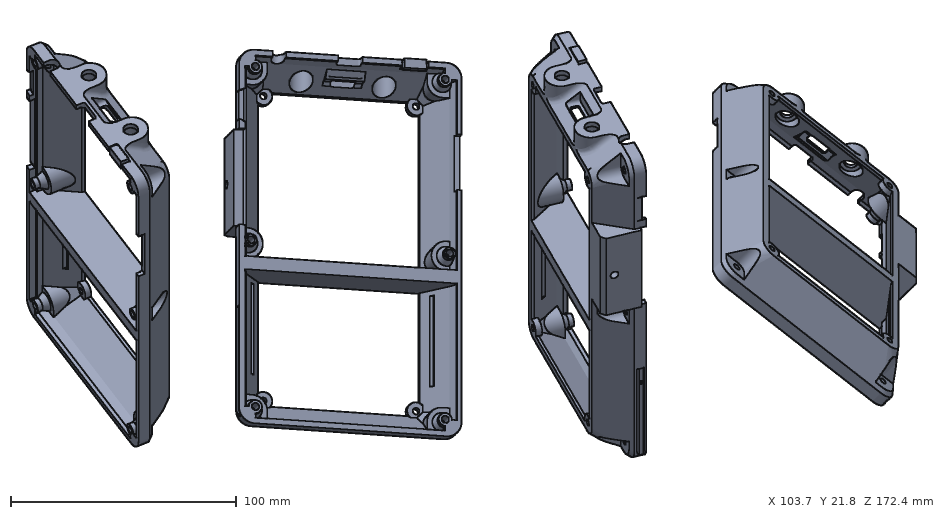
import cadquery as cq
import math

CASE_WIDTH = 102.0
CASE_HEIGHT = 171.6
DEPTH = 21.75
RIM_DEPTH = 5.7
INSET_X = 10.8
INSET_Z = 10.4
RIM_RADIUS = 7.0
BACK_RADIUS = 6.0
SIDE_X = CASE_WIDTH / 2
TOP_Z = CASE_HEIGHT / 2
BEYOND = 5.0

LIP_DEPTH = 2.0
LIP_LEFT = -48.3
LIP_RIGHT = 48.9
LIP_Z = 83.2
CAVITY_DEPTH = 6.0
LEFT_STEP_DEPTH = 3.2
WINDOW_EDGE_DEPTH = 20.25
WINDOW_EDGE_TAPER = 0.3
CAVITY_X = 46.95
CAVITY_Z = 81.7
SLOPE_Z = INSET_Z / (DEPTH - RIM_DEPTH)
WINDOW_X = 36.7
WINDOW_Z = 71.8
INNER_SLOPE_Z = (CAVITY_Z - WINDOW_Z - WINDOW_EDGE_TAPER) / (WINDOW_EDGE_DEPTH - CAVITY_DEPTH)

BAR_TOP = -9.2
BAR_BOTTOM = -15.3

CORNER_SCREW_X = 43.5
CORNER_SCREW_Z = 78.1
MIDDLE_SCREW_X = 45.5
MIDDLE_SCREW_Z = -1.6
SCREW_HOLE = 3.3
RECESS_RADIUS = 4.4
MIDDLE_RECESS_RADIUS = 4.0
RECESS_FLOOR = 7.7
RECESS_WALL = 2.5
FLOOR_THICKNESS = 2.0
COLUMN_FRONT = RECESS_FLOOR - FLOOR_THICKNESS
CONE_RADIUS = 4.5
TIP_RADIUS = 3.0
TIP_DEPTH = 2.5
MIDDLE_TIP_RADIUS = 2.6

EYE_X = 35.0
EYE_Z = 70.0
EYE_RADIUS = 4.1
EYE_HOLE = 3.0
EYE_THICKNESS = 3.0
EYE_FLAT = 2.4
EYE_WEB_LENGTH = 9.0
EYE_WEB_FRONT = 8.0

LUG_X = 19.0
LUG_RADIUS = 7.2
LUG_CENTRE_Y = DEPTH - LUG_RADIUS
LUG_HOLE_Y = 13.85
LUG_FILLET = 3.0
SEAM_MARGIN = 0.1
TOLERANCE = 0.01
LUG_SPAN = 70.0
LUG_RUN_OUT = 8.0
LUG_HOLE = 6.6
LUG_BORE = 10.5
LUG_LID = 2.5

PORT_CENTRE_Y = 13.2
PORT_WIDTH = 11.1
PORT_HEIGHT = 4.4
PORT_RADIUS = 1.2
PORT_RECESS_WIDTH = 16.4
PORT_RECESS_HEIGHT = 7.0
PORT_RECESS_CENTRE_Y = 12.8
PORT_RECESS_RADIUS = 1.6
PORT_RECESS_FLOOR = 78.3
PORT_PAD_WIDTH = 17.8
PORT_PAD_TOP = 81.0
PORT_PAD_OVERLAP = 1.0
PORT_PAD_RIDGE_Z = 77.2
PORT_PAD_RIDGE_Y = 9.6
PORT_POCKET_BOTTOM = 75.5
PORT_POCKET_TOP_Y = 13.9

BLOCK_STAND_OUT = 1.7
BLOCK_X = -SIDE_X - BLOCK_STAND_OUT
BLOCK_TOP = 49.3
BLOCK_BOTTOM = 5.1
BLOCK_FRONT = 2.8
BLOCK_CHAMFER = 2.1
BLOCK_HOLE = 3.7
BLOCK_HOLE_Y = 15.75
BLOCK_HOLE_Z = 27.2
BLOCK_HOLE_DEPTH = 6.0

NOTCH_DEPTH = 4.1
TOP_NOTCH_RADIUS = 1.0
CABLE_X = -32.5
CABLE_DIAMETER = 6.0
CABLE_CENTRE_Y = 3.1
TAB_NOTCH_LEFT = 23.7
TAB_NOTCH_RIGHT = 35.9
TAB_LEFT = 24.8
TAB_RIGHT = 34.9
TAB_BOTTOM = 82.2
TAB_RISE = 0.78
TAB_TOP = TOP_Z + TAB_RISE
RIGHT_CUT_TOP = 53.2
RIGHT_CUT_BOTTOM = 27.7
RIGHT_CUT_DEPTH = 3.2
LEFT_NOTCH_TOP = 66.8
LEFT_NOTCH_BOTTOM = 53.6
LEFT_NOTCH_FLARE = 1.5
LEFT_NOTCH_DEPTH = 1.9
LEFT_NOTCH_CHAMFER = 0.2

INNER_GROOVE_TOP = -17.7
INNER_GROOVE_BOTTOM = -59.3
INNER_GROOVE_FRONT = 12.9
INNER_GROOVE_BACK = 15.4
INNER_GROOVE_X = 41.9
OUTER_GROOVE_TOP = -31.9
OUTER_GROOVE_BOTTOM = -83.5
OUTER_GROOVE_FRONT = 1.1
OUTER_GROOVE_STEP = 2.9
OUTER_GROOVE_BACK = 4.5
OUTER_GROOVE_DEPTH = 1.0
PIN_HOLE = 1.5
PIN_HOLE_Z = -41.0
PIN_HOLE_DEPTH = 1.5


def box(x0, x1, y0, y1, z0, z1):
    """Axis-aligned box between opposite corners."""
    return cq.Workplane("XY").box(x1 - x0, y1 - y0, z1 - z0, centered=False).translate((x0, y0, z0))


def across(y):
    """Sketch plane facing the front at depth y, with local axes X and Z."""
    return cq.Workplane(cq.Plane((0, y, 0), (1, 0, 0), (0, -1, 0)))


def above(z):
    """Sketch plane at height z, with local axes X and Y."""
    return cq.Workplane("XY").workplane(offset=z)


def cylinder_y(x, z, radius, y0, y1):
    """Cylinder along Y from y0 to y1."""
    return across(y0).center(x, z).circle(radius).extrude(y0 - y1)


def hole_x(x, y, z, diameter, depth):
    """Round hole entering toward +X."""
    return cq.Workplane("YZ", origin=(x, y, z)).circle(diameter / 2).extrude(depth)


def outer_shape():
    """Straight rim followed by a shell that tapers toward the back."""
    front = cq.Sketch().rect(CASE_WIDTH, CASE_HEIGHT).vertices().fillet(RIM_RADIUS)
    rim = across(0).placeSketch(front).extrude(-RIM_DEPTH)
    back = cq.Sketch().rect(CASE_WIDTH - 2 * INSET_X, CASE_HEIGHT - 2 * INSET_Z)
    back = back.vertices().fillet(BACK_RADIUS).moved(cq.Location(cq.Vector(0, 0, RIM_DEPTH - DEPTH)))
    taper = across(RIM_DEPTH).placeSketch(front, back).loft(ruled=True)
    return rim.union(taper)


def tapered_hollow(y0, left0, right0, z0, y1, left1, right1, z1):
    """Four-sided frustum between depths y0 and y1."""
    start = across(y0).center((left0 + right0) / 2, 0).rect(right0 - left0, 2 * z0)
    end = start.workplane(offset=y0 - y1).center((left1 + right1 - left0 - right0) / 2, 0)
    return end.rect(right1 - left1, 2 * z1).loft(ruled=True)


def cavity():
    """Open space inside the case, from the front lip to the back window."""
    edge_x = WINDOW_X + WINDOW_EDGE_TAPER
    edge_z = WINDOW_Z + WINDOW_EDGE_TAPER
    left_step = box(LIP_LEFT, -CAVITY_X, 0, LEFT_STEP_DEPTH, -CAVITY_Z, CAVITY_Z)
    lip = box(LIP_LEFT, LIP_RIGHT, -BEYOND, LIP_DEPTH, -LIP_Z, LIP_Z)
    step = tapered_hollow(
        LIP_DEPTH, -CAVITY_X, LIP_RIGHT, LIP_Z, CAVITY_DEPTH, -CAVITY_X, CAVITY_X, CAVITY_Z
    )
    walls = tapered_hollow(
        CAVITY_DEPTH, -CAVITY_X, CAVITY_X, CAVITY_Z, WINDOW_EDGE_DEPTH, -edge_x, edge_x, edge_z
    )
    window = tapered_hollow(
        WINDOW_EDGE_DEPTH, -edge_x, edge_x, edge_z, DEPTH, -WINDOW_X, WINDOW_X, WINDOW_Z
    )
    return lip.union(left_step).union(step).union(walls).union(window)


class LugSeams(cq.Selector):
    """Edges where the lug sides meet the top slope."""

    def filter(self, objects):
        return [edge for edge in objects if self.is_seam(edge)]

    def is_seam(self, edge):
        middle = edge.positionAt(0.5)
        slope_z = TOP_Z - SLOPE_Z * (middle.y - RIM_DEPTH)
        near_lug = abs(abs(middle.x) - LUG_X) < LUG_RADIUS + SEAM_MARGIN
        return near_lug and middle.y > RIM_DEPTH + SEAM_MARGIN and abs(middle.z - slope_z) < TOLERANCE


def lugs():
    """Upright round-ended lugs, blended into a length of the top slope."""
    far_y = DEPTH + LUG_RUN_OUT
    far_z = TOP_Z - SLOPE_Z * (far_y - RIM_DEPTH)
    base_z = far_z - LUG_RUN_OUT
    profile = [(0, base_z), (0, TOP_Z), (RIM_DEPTH, TOP_Z), (far_y, far_z), (far_y, base_z)]
    body = cq.Workplane("YZ").polyline(profile).close().extrude(LUG_SPAN / 2, both=True)
    for side in (-1, 1):
        lug = (
            above(base_z)
            .center(side * LUG_X, 0)
            .moveTo(-LUG_RADIUS, 0)
            .lineTo(LUG_RADIUS, 0)
            .lineTo(LUG_RADIUS, LUG_CENTRE_Y)
            .threePointArc((0, LUG_CENTRE_Y + LUG_RADIUS), (-LUG_RADIUS, LUG_CENTRE_Y))
            .close()
            .extrude(TOP_Z - base_z)
        )
        body = body.union(lug)
    body = body.edges(LugSeams()).fillet(LUG_FILLET)
    return body.intersect(box(-SIDE_X, SIDE_X, 0, DEPTH, WINDOW_Z, TOP_Z))


def side_block():
    """Block standing out from the left side, chamfered along its back edge."""
    block = box(BLOCK_X, -CAVITY_X, BLOCK_FRONT, DEPTH, BLOCK_BOTTOM, BLOCK_TOP)
    block = block.union(box(-CAVITY_X, -WINDOW_X, BLOCK_FRONT, DEPTH, BLOCK_BOTTOM, BLOCK_TOP))
    return block.edges("<X and >Y").chamfer(BLOCK_CHAMFER)


def corner_block(x_side, z_side, reach, front, back):
    """Prism from a corner screw out past the case corner, with a round inner corner."""
    x0 = CORNER_SCREW_X - reach
    z0 = CORNER_SCREW_Z - reach
    block = box(x0, SIDE_X + BEYOND, front, back, z0, TOP_Z + BEYOND)
    block = block.edges("|Y and <X and <Z").fillet(reach)
    if x_side < 0:
        block = block.mirror("YZ")
    if z_side < 0:
        block = block.mirror("XY")
    return block


def middle_block(x_side, reach, front, back):
    """Round-ended prism from a middle screw straight out past the side."""
    far_x = SIDE_X + BEYOND
    length = far_x - MIDDLE_SCREW_X
    block = box(0, length, front, back, -reach, reach).translate((MIDDLE_SCREW_X, 0, MIDDLE_SCREW_Z))
    block = block.union(cylinder_y(MIDDLE_SCREW_X, MIDDLE_SCREW_Z, reach, front, back))
    return block if x_side > 0 else block.mirror("YZ")


def screw_tip(x, z, tip_radius):
    """Cone from the column front, ending in a short cylinder at the rim plane."""
    cone = across(COLUMN_FRONT).center(x, z).circle(CONE_RADIUS)
    cone = cone.workplane(offset=COLUMN_FRONT - TIP_DEPTH).circle(tip_radius).loft()
    return cone.union(cylinder_y(x, z, tip_radius, 0, TIP_DEPTH))


def screw_column_solids(envelope):
    """All material around the six case screws, kept inside the case envelope."""
    outer_reach = RECESS_RADIUS + RECESS_WALL
    solids = []
    for x_side in (-1, 1):
        solids.append(middle_block(x_side, outer_reach, COLUMN_FRONT, DEPTH))
        solids.append(screw_tip(x_side * MIDDLE_SCREW_X, MIDDLE_SCREW_Z, MIDDLE_TIP_RADIUS))
        for z_side in (-1, 1):
            solids.append(corner_block(x_side, z_side, outer_reach, COLUMN_FRONT, DEPTH))
            solids.append(screw_tip(x_side * CORNER_SCREW_X, z_side * CORNER_SCREW_Z, TIP_RADIUS))
            x_ends = sorted((x_side * CORNER_SCREW_X, x_side * SIDE_X))
            z_ends = sorted((z_side * CORNER_SCREW_Z, z_side * TOP_Z))
            solids.append(box(*x_ends, 0, RECESS_FLOOR, *z_ends))
    joined = solids[0]
    for solid in solids[1:]:
        joined = joined.union(solid)
    return joined.intersect(envelope)


def cut_screw_recesses(body):
    """Head recesses open to the back and the sides, with through holes for the screws."""
    for x_side in (-1, 1):
        body = body.cut(middle_block(x_side, MIDDLE_RECESS_RADIUS, RECESS_FLOOR, DEPTH + BEYOND))
        hole_places = [(MIDDLE_SCREW_X, MIDDLE_SCREW_Z)]
        for z_side in (-1, 1):
            body = body.cut(corner_block(x_side, z_side, RECESS_RADIUS, RECESS_FLOOR, DEPTH + BEYOND))
            hole_places.append((CORNER_SCREW_X, z_side * CORNER_SCREW_Z))
        for x, z in hole_places:
            body = body.cut(cylinder_y(x_side * x, z, SCREW_HOLE / 2, -BEYOND, DEPTH + BEYOND))
    return body


def add_eyes(body, envelope):
    """Flat eyes at the back, each joined to its case corner by a diagonal web."""
    front = DEPTH - EYE_THICKNESS
    profile = [
        (0, DEPTH),
        (0, front),
        (EYE_FLAT, front),
        (EYE_WEB_LENGTH, EYE_WEB_FRONT),
        (EYE_WEB_LENGTH, DEPTH),
    ]
    for x_side in (-1, 1):
        for z_side in (-1, 1):
            x = x_side * EYE_X
            z = z_side * EYE_Z
            web = cq.Workplane("XY").polyline(profile).close().extrude(EYE_RADIUS, both=True)
            angle = -math.degrees(math.atan2(z_side, x_side))
            web = web.rotate((0, 0, 0), (0, 1, 0), angle).translate((x, 0, z))
            eye = cylinder_y(x, z, EYE_RADIUS, front, DEPTH).union(web.intersect(envelope))
            body = body.union(eye)
    return body


def cut_eye_holes(body):
    for x in (-EYE_X, EYE_X):
        for z in (-EYE_Z, EYE_Z):
            body = body.cut(cylinder_y(x, z, EYE_HOLE / 2, CAVITY_DEPTH, DEPTH + BEYOND))
    return body


def inner_slope_y(z):
    """Depth of the inner top slope at height z."""
    return CAVITY_DEPTH + (CAVITY_Z - z) / INNER_SLOPE_Z


def port_prism(profile):
    """Prism across the port with a Y-Z profile."""
    return cq.Workplane("YZ").polyline(profile).close().extrude(PORT_PAD_WIDTH / 2, both=True)


def add_port(body):
    """Pad inside the top wall with a pocket behind it, an outer recess and the port opening."""
    pad_start_y = inner_slope_y(PORT_PAD_TOP)
    pad = port_prism([
        (pad_start_y, PORT_PAD_TOP),
        (PORT_PAD_RIDGE_Y, PORT_PAD_RIDGE_Z),
        (PORT_POCKET_TOP_Y, PORT_PAD_RIDGE_Z),
        (pad_start_y + PORT_PAD_OVERLAP, PORT_PAD_TOP),
    ])
    pocket = port_prism([
        (PORT_PAD_RIDGE_Y, PORT_PAD_RIDGE_Z),
        (PORT_POCKET_TOP_Y, PORT_PAD_RIDGE_Z),
        (inner_slope_y(PORT_POCKET_BOTTOM), PORT_POCKET_BOTTOM),
        (PORT_PAD_RIDGE_Y, PORT_POCKET_BOTTOM),
    ])
    opening = above(WINDOW_Z).center(0, PORT_CENTRE_Y).rect(PORT_WIDTH, PORT_HEIGHT)
    opening = opening.extrude(TOP_Z - WINDOW_Z).edges("|Z").fillet(PORT_RADIUS)
    recess = above(PORT_RECESS_FLOOR).center(0, PORT_RECESS_CENTRE_Y)
    recess = recess.rect(PORT_RECESS_WIDTH, PORT_RECESS_HEIGHT).extrude(TOP_Z - PORT_RECESS_FLOOR)
    recess = recess.edges("|Y and <Z").fillet(PORT_RECESS_RADIUS)
    return body.union(pad).cut(pocket).cut(opening).cut(recess)


def cut_lug_holes(body):
    """Holes down through the lugs, widened below a thin lid."""
    for x in (-LUG_X, LUG_X):
        hole = above(WINDOW_Z - BEYOND).center(x, LUG_HOLE_Y)
        body = body.cut(hole.circle(LUG_HOLE / 2).extrude(TOP_Z - WINDOW_Z + 2 * BEYOND))
        body = body.cut(hole.circle(LUG_BORE / 2).extrude(TOP_Z - LUG_LID - WINDOW_Z + BEYOND))
    return body


def cut_top_rim(body):
    """Port notch, cable notch and the notch that holds the raised tab."""
    half = PORT_WIDTH / 2
    bottom = CAVITY_Z - BEYOND
    notch = box(-half, half, -BEYOND, NOTCH_DEPTH, bottom, TOP_Z + BEYOND)
    body = body.cut(notch.edges("|Z and >Y").fillet(TOP_NOTCH_RADIUS))
    radius = CABLE_DIAMETER / 2
    cable = box(CABLE_X - radius, CABLE_X + radius, -BEYOND, CABLE_CENTRE_Y, bottom, TOP_Z + BEYOND)
    round_end = above(bottom).center(CABLE_X, CABLE_CENTRE_Y).circle(radius)
    body = body.cut(cable).cut(round_end.extrude(TOP_Z + BEYOND - bottom))
    body = body.cut(box(TAB_NOTCH_LEFT, TAB_NOTCH_RIGHT, -BEYOND, NOTCH_DEPTH, TAB_BOTTOM, TOP_Z + BEYOND))
    return body.union(box(TAB_LEFT, TAB_RIGHT, 0, NOTCH_DEPTH, TAB_BOTTOM, TAB_TOP))


def cut_side_rims(body):
    """Opening in the right rim, clearance over the block and a flared notch in the left rim."""
    body = body.cut(
        box(CAVITY_X, SIDE_X + BEYOND, -BEYOND, RIGHT_CUT_DEPTH, RIGHT_CUT_BOTTOM, RIGHT_CUT_TOP)
    )
    body = body.cut(box(BLOCK_X - BEYOND, -CAVITY_X, -BEYOND, BLOCK_FRONT, BLOCK_BOTTOM, BLOCK_TOP))
    flare = across(0).polyline([
        (-SIDE_X, LEFT_NOTCH_TOP),
        (-CAVITY_X, LEFT_NOTCH_TOP + LEFT_NOTCH_FLARE),
        (-CAVITY_X, LEFT_NOTCH_BOTTOM - LEFT_NOTCH_FLARE),
        (-SIDE_X, LEFT_NOTCH_BOTTOM),
    ]).close().extrude(-LEFT_NOTCH_DEPTH)
    ramp = above(LEFT_NOTCH_BOTTOM).polyline([
        (-SIDE_X, LEFT_NOTCH_DEPTH),
        (-SIDE_X + LEFT_NOTCH_CHAMFER, LEFT_NOTCH_DEPTH),
        (-SIDE_X, NOTCH_DEPTH),
    ]).close().extrude(LEFT_NOTCH_TOP - LEFT_NOTCH_BOTTOM)
    return body.cut(flare).cut(ramp)


def cut_grooves(body):
    """Blind grooves in both inner side walls and a long groove along the left rim."""
    for side in (-1, 1):
        x_ends = sorted((0, side * INNER_GROOVE_X))
        body = body.cut(
            box(*x_ends, INNER_GROOVE_FRONT, INNER_GROOVE_BACK, INNER_GROOVE_BOTTOM, INNER_GROOVE_TOP)
        )
    floor_x = -SIDE_X + OUTER_GROOVE_DEPTH
    groove = above(OUTER_GROOVE_BOTTOM).polyline([
        (-SIDE_X, OUTER_GROOVE_FRONT),
        (floor_x, OUTER_GROOVE_FRONT),
        (floor_x, OUTER_GROOVE_STEP),
        (-SIDE_X, OUTER_GROOVE_BACK),
    ]).close().extrude(OUTER_GROOVE_TOP - OUTER_GROOVE_BOTTOM)
    pin_y = (OUTER_GROOVE_FRONT + OUTER_GROOVE_STEP) / 2
    return body.cut(groove).cut(hole_x(-SIDE_X, pin_y, PIN_HOLE_Z, PIN_HOLE, PIN_HOLE_DEPTH))


envelope = outer_shape()
body = envelope.union(lugs()).union(side_block()).cut(cavity())
body = body.union(screw_column_solids(envelope))
body = add_eyes(body, envelope)
body = body.union(box(LIP_LEFT, LIP_RIGHT, 0, DEPTH, BAR_BOTTOM, BAR_TOP).intersect(envelope))
body = add_port(body)
body = cut_screw_recesses(body)
body = cut_eye_holes(body)
body = cut_lug_holes(body)
body = cut_top_rim(body)
body = cut_side_rims(body)
body = cut_grooves(body)
body = body.cut(hole_x(BLOCK_X, BLOCK_HOLE_Y, BLOCK_HOLE_Z, BLOCK_HOLE, BLOCK_HOLE_DEPTH))
result = body